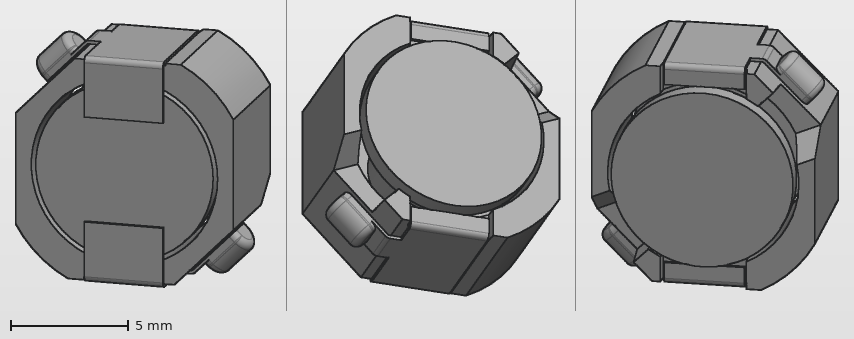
import cadquery as cq
import math


ring_half_width = 4.85
ring_half_height = 4.95
ring_corner_radius = 5.55
ring_bore_radius = 4.15
ring_length = 5.62

core_radius = 3.95
core_hub_radius = 2.2
core_flange = 0.85
core_overhang = 0.28

sheet = 0.15
strap_width = 3.5
strap_outer = 5.0
strap_back_inset = 0.22
pad_end = 2.33
core_clearance = 0.1
back_leg_end = core_radius + core_clearance
strap_bend_radius = 0.25
tab_bend_radius = 0.3
tab_width = 1.7
tab_centre_y = 3.35
tab_gap = 0.07

bump_start = -0.87
bump_end = 1.21
bump_side_height = 0.2
bump_side_blend = 0.3
bump_height = 0.89
bump_round = 0.33

ring_front = sheet
ring_back = ring_front + ring_length
seat = strap_outer - sheet
chamfer_distance = 5.0
chamfer_sum = chamfer_distance * math.sqrt(2)
corner_x = math.sqrt(ring_corner_radius**2 - ring_half_height**2)
corner_z = math.sqrt(ring_corner_radius**2 - ring_half_width**2)

seat_half_width = 1.82
slot_mouth_half_width = 1.87
slot_depth = 0.48
exit_depth = 1.4
exit_upper_floor = 0.59
exit_upper_back = 0.72
exit_lower_floor = chamfer_sum - ring_half_width
exit_lower_back = 1.19
exit_lower_slope = 0.43
cut_margin = 1.0
exit_inner_reach = 1.3


def xz_plane(y):
    return cq.Workplane("XZ", origin=(0, y, 0))


def half_turn(body):
    return body.rotate((0, 0, 0), (0, 1, 0), 180)


def on_slope(along, distance):
    """X and Z of a point given along the chamfer and square to it from the axis."""
    return (along - distance) / math.sqrt(2), (along + distance) / math.sqrt(2)


def make_ring_block():
    arc_middle = ring_corner_radius / math.sqrt(2)
    block = (
        xz_plane(ring_front)
        .moveTo(ring_half_height - chamfer_sum, ring_half_height)
        .lineTo(corner_x, ring_half_height)
        .threePointArc((arc_middle, arc_middle), (ring_half_width, corner_z))
        .lineTo(ring_half_width, ring_half_width - chamfer_sum)
        .lineTo(chamfer_sum - ring_half_height, -ring_half_height)
        .lineTo(-corner_x, -ring_half_height)
        .threePointArc((-arc_middle, -arc_middle), (-ring_half_width, -corner_z))
        .lineTo(-ring_half_width, chamfer_sum - ring_half_width)
        .close()
        .extrude(-ring_length)
    )
    bore = xz_plane(ring_front).circle(ring_bore_radius).extrude(-ring_length)
    return block.cut(bore)


def make_seat_cut():
    """Shallow flat under the strap, running from the chamfer to just past the strap."""
    return cq.Workplane("XY").box(
        seat_half_width + ring_half_width, ring_length, cut_margin, centered=False
    ).translate((-ring_half_width, ring_front, seat))


def make_back_slot():
    """Slot in the back face for the back leg of the strap, slightly wider at its mouth."""
    return (
        cq.Workplane("XY", origin=(0, 0, core_radius - cut_margin))
        .polyline([
            (-seat_half_width, ring_back - slot_depth),
            (seat_half_width, ring_back - slot_depth),
            (slot_mouth_half_width, ring_back),
            (-slot_mouth_half_width, ring_back),
        ])
        .close()
        .extrude(ring_half_height - core_radius + 2 * cut_margin)
    )


def wire_exit_outline(upper_along, lower_z):
    upper_x, upper_z = on_slope(upper_along, chamfer_distance)
    lower_x = -ring_half_width
    return [
        (upper_x - cut_margin, upper_z + cut_margin),
        (upper_x + cut_margin, upper_z - cut_margin),
        (lower_x + exit_inner_reach, lower_z - exit_lower_slope * exit_inner_reach),
        (lower_x - cut_margin, lower_z + exit_lower_slope * cut_margin),
    ]


def make_wire_exit():
    """Notch across the chamfer at the back face, opening into the bore and widening to the back."""
    return (
        xz_plane(ring_back - exit_depth)
        .polyline(wire_exit_outline(exit_upper_floor, exit_lower_floor))
        .close()
        .workplane(offset=-exit_depth)
        .polyline(wire_exit_outline(exit_upper_back, exit_lower_back))
        .close()
        .loft(ruled=True)
    )


def make_ring():
    ring = make_ring_block()
    for recess in (make_seat_cut(), make_back_slot(), make_wire_exit()):
        ring = ring.cut(recess).cut(half_turn(recess))
    return ring


def make_core():
    core_length = ring_length + core_overhang
    core_back = ring_front + core_length
    hub = xz_plane(ring_front).circle(core_hub_radius).extrude(-core_length)
    front_flange = xz_plane(ring_front).circle(core_radius).extrude(-core_flange)
    back_flange = xz_plane(core_back).circle(core_radius).extrude(core_flange)
    return hub.union(front_flange).union(back_flange)


def make_strap():
    """Strap over the ring with a long mounting pad in front and a short leg behind."""
    back = ring_back - strap_back_inset
    return (
        cq.Workplane("YZ")
        .polyline([
            (0, pad_end),
            (0, strap_outer),
            (back, strap_outer),
            (back, back_leg_end),
            (back - sheet, back_leg_end),
            (back - sheet, seat),
            (sheet, seat),
            (sheet, pad_end),
        ])
        .close()
        .extrude(strap_width / 2, both=True)
        .edges("|X and >Z")
        .fillet(strap_bend_radius)
    )


def make_tab():
    """Side tab that leaves the strap and bends down along the chamfer."""
    inner = chamfer_distance + tab_gap
    outer = inner + sheet
    tab = (
        xz_plane(tab_centre_y)
        .polyline([
            (0, seat),
            (0, strap_outer),
            (strap_outer - outer * math.sqrt(2), strap_outer),
            on_slope(bump_start, outer),
            on_slope(bump_start, inner),
            (seat - inner * math.sqrt(2), seat),
        ])
        .close()
        .extrude(tab_width / 2, both=True)
    )
    outer_bend = cq.selectors.NearestToPointSelector(
        (strap_outer - outer * math.sqrt(2), tab_centre_y, strap_outer))
    inner_bend = cq.selectors.NearestToPointSelector(
        (seat - inner * math.sqrt(2), tab_centre_y, seat))
    tab = tab.edges(outer_bend).fillet(tab_bend_radius)
    tab = tab.edges(inner_bend).fillet(tab_bend_radius - sheet)
    return tab.faces("<(1, 0, 1)").edges("#Y").fillet(bump_round)


def make_bump():
    """Rounded solder bump along the tab, with low straight sides and an arched top."""
    base_x, base_z = on_slope(bump_start, chamfer_distance + tab_gap + sheet)
    section_plane = cq.Plane(
        origin=(base_x, tab_centre_y, base_z), xDir=(0, 1, 0), normal=(1, 0, 1))
    half = tab_width / 2
    bump = (
        cq.Workplane(section_plane)
        .moveTo(-half, 0)
        .lineTo(half, 0)
        .lineTo(half, bump_side_height)
        .threePointArc((0, bump_height), (-half, bump_side_height))
        .close()
        .extrude(bump_end - bump_start)
        .edges("|(1, 0, 1)")
        .edges("not <(-1, 0, 1)")
        .fillet(bump_side_blend)
    )
    ends = bump.faces("<(1, 0, 1) or >(1, 0, 1)").edges()
    return ends.edges("not <(-1, 0, 1)").fillet(bump_round)


def make_terminal():
    return make_strap().union(make_tab()).union(make_bump())


ring = make_ring()
core = make_core()
terminal = make_terminal()
terminals = [terminal, half_turn(terminal)]

result = cq.Compound.makeCompound(
    [ring.val(), core.val(), *[body.val() for body in terminals]]
)